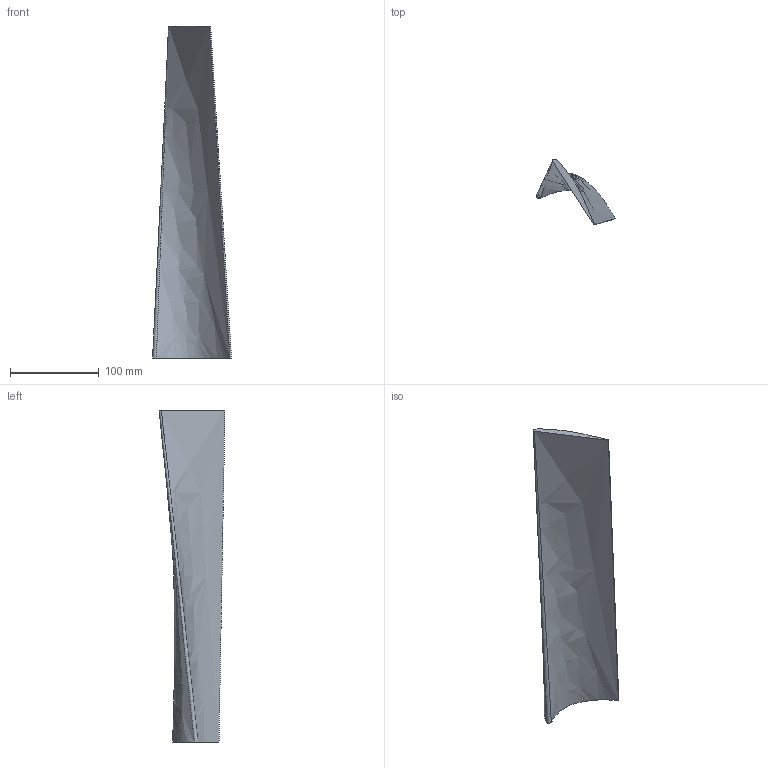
import cadquery as cq
import math

BLADE_LENGTH = 374.67

ROOT_NOSE_CENTER = (2.9, 33.3)
ROOT_NOSE_RADIUS = 2.9
ROOT_NOSE_SUCTION_ANGLE = 155.0
ROOT_NOSE_PRESSURE_ANGLE = 300.0
ROOT_PRESSURE_POINTS = [(20.0, 37.2), (40.0, 39.5), (66.0, 28.8)]
ROOT_TRAILING_PRESSURE_CORNER = (87.4, 6.8)
ROOT_TRAILING_SUCTION_CORNER = (89.15, 7.9)
ROOT_SUCTION_POINTS = [(68.6, 38.4), (55.3, 51.1), (38.0, 58.8), (15.0, 51.5)]

TIP_NOSE_CENTER = (19.8, 72.7)
TIP_NOSE_RADIUS = 1.75
TIP_NOSE_SUCTION_ANGLE = 125.0
TIP_NOSE_PRESSURE_ANGLE = 210.0
TIP_PRESSURE_POINTS = []
TIP_TRAILING_PRESSURE_CORNER = (64.5, 0.0)
TIP_TRAILING_SUCTION_CORNER = (65.6, 0.7)
TIP_SUCTION_POINTS = [(55.9, 23.4), (42.4, 49.6), (29.8, 65.8), (21.7, 73.9), (20.1, 74.46)]


def point_on_circle(center, radius, angle):
    """Point at an angle in degrees on a circle."""
    turn = math.radians(angle)
    return (center[0] + radius * math.cos(turn), center[1] + radius * math.sin(turn))


def blade_section(height, center, radius, suction_angle, pressure_angle,
                  pressure_points, pressure_corner, suction_corner, suction_points):
    """Closed blade outline at a height, drawn from the nose along the pressure side and back."""
    middle_angle = (suction_angle + pressure_angle) / 2
    nose_start = point_on_circle(center, radius, suction_angle)
    nose_tip = point_on_circle(center, radius, middle_angle)
    nose_end = point_on_circle(center, radius, pressure_angle)

    outline = cq.Workplane("XY", origin=(0, 0, height)).moveTo(*nose_start)
    outline = outline.threePointArc(nose_tip, nose_end)
    if pressure_points:
        outline = outline.spline(pressure_points + [pressure_corner], includeCurrent=True)
    else:
        outline = outline.lineTo(*pressure_corner)
    outline = outline.lineTo(*suction_corner)
    outline = outline.spline(suction_points + [nose_start], includeCurrent=True)
    return outline.wire().val()


root = blade_section(
    0.0, ROOT_NOSE_CENTER, ROOT_NOSE_RADIUS, ROOT_NOSE_SUCTION_ANGLE, ROOT_NOSE_PRESSURE_ANGLE,
    ROOT_PRESSURE_POINTS, ROOT_TRAILING_PRESSURE_CORNER,
    ROOT_TRAILING_SUCTION_CORNER, ROOT_SUCTION_POINTS,
)
tip = blade_section(
    BLADE_LENGTH, TIP_NOSE_CENTER, TIP_NOSE_RADIUS, TIP_NOSE_SUCTION_ANGLE, TIP_NOSE_PRESSURE_ANGLE,
    TIP_PRESSURE_POINTS, TIP_TRAILING_PRESSURE_CORNER,
    TIP_TRAILING_SUCTION_CORNER, TIP_SUCTION_POINTS,
)

result = cq.Workplane(cq.Solid.makeLoft([root, tip], ruled=True))